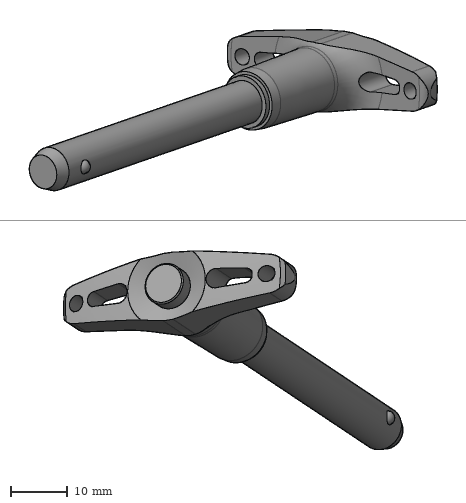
import cadquery as cq
import math


total_length = 91.44
handle_span = 45.18
handle_thickness = 12.7

shank_length = 59.16
shank_radius = 3.97
shank_tip_radius = 3.1
shank_tip_taper = 2.45
ball_radius = 1.3
ball_reach = 4.82
ball_from_tip = 7.2

button_top = total_length - shank_length
button_radius = 3.8
button_chamfer = 0.25

collar_radius = 4.8
sleeve_nose = (5.36, 1.1)
sleeve_taper_start = (5.6, 3.3)
sleeve_taper_end = (5.91, 18.7)
sleeve_top = (6.0, 19.55)

root_edge = (12.15, 24.65)
tip_radius = handle_span / 2
tip_round_start = (21.2, 23.7)
tip_round_mid = (22.01, 23.86)
tip_round_top = 24.45
tip_draft_start = 25.1
tip_top_radius = 22.05
tip_top = 28.5
tip_corner_chamfer = 0.7
crown_mid = (15.0, 29.98)
crown_crest = (7.7, 31.1)
dish_slope = 0.5

end_round_radius = 3.7
centre_flat_half_width = 0.98

lanyard_hole_radius = 1.5
slot_inner_end = 7.85
slot_inner_radius = 1.83
slot_outer_end = 16.35
slot_outer_radius = 1.4


def turned(profile):
    """Revolve a closed (radius, Y) profile drawn on XY about the Y axis."""
    return profile.close().revolve(360, (0, 0, 0), (0, 1, 0))


def make_pin():
    """Shank, collar, tapered grip sleeve and push button as one turned body."""
    shank_end = -shank_length
    profile = (
        cq.Workplane("XY")
        .moveTo(0, shank_end)
        .lineTo(shank_tip_radius, shank_end)
        .lineTo(shank_radius, shank_end + shank_tip_taper)
        .lineTo(shank_radius, 0)
        .lineTo(collar_radius, 0)
        .lineTo(collar_radius, sleeve_nose[1])
        .lineTo(*sleeve_nose)
        .lineTo(*sleeve_taper_start)
        .lineTo(*sleeve_taper_end)
        .lineTo(*sleeve_top)
        .lineTo(button_radius, sleeve_top[1])
        .lineTo(button_radius, button_top - button_chamfer)
        .lineTo(button_radius - button_chamfer, button_top)
        .lineTo(0, button_top)
    )
    return turned(profile)


def make_handle_blank():
    """Mushroom-shaped body: filleted root, sloping underside and domed crown."""
    dish_bottom = crown_crest[1] - dish_slope * (crown_crest[0] - button_radius)
    profile = (
        cq.Workplane("XY")
        .moveTo(0, dish_bottom)
        .lineTo(button_radius, dish_bottom)
        .lineTo(*crown_crest)
        .threePointArc(crown_mid, (tip_top_radius - tip_corner_chamfer, tip_top))
        .lineTo(tip_top_radius, tip_top - tip_corner_chamfer)
        .lineTo(tip_radius, tip_draft_start)
        .lineTo(tip_radius, tip_round_top)
        .threePointArc(tip_round_mid, tip_round_start)
        .lineTo(*root_edge)
        .tangentArcPoint(sleeve_top, relative=False)
        .lineTo(0, sleeve_top[1])
    )
    return turned(profile)


def extrude_along_pin(outline):
    """Extrude an XZ outline from Y = 0 past the top of the handle."""
    return outline.extrude(-button_top)


def make_handle_outline():
    """Tapered lens with fully round ends, tangent flanks and a narrow flat middle."""
    half_thickness = handle_thickness / 2
    end_x = handle_span / 2 - end_round_radius
    reach = math.hypot(end_x - centre_flat_half_width, half_thickness)
    reach_angle = math.atan2(half_thickness, end_x - centre_flat_half_width)
    flank_slope = reach_angle - math.asin(end_round_radius / reach)
    flank_end_x = end_x + end_round_radius * math.sin(flank_slope)
    flank_end_z = end_round_radius * math.cos(flank_slope)
    outline = (
        cq.Workplane("XZ")
        .moveTo(-flank_end_x, flank_end_z)
        .lineTo(-centre_flat_half_width, half_thickness)
        .lineTo(centre_flat_half_width, half_thickness)
        .lineTo(flank_end_x, flank_end_z)
        .threePointArc((handle_span / 2, 0), (flank_end_x, -flank_end_z))
        .lineTo(centre_flat_half_width, -half_thickness)
        .lineTo(-centre_flat_half_width, -half_thickness)
        .lineTo(-flank_end_x, -flank_end_z)
        .threePointArc((-handle_span / 2, 0), (-flank_end_x, flank_end_z))
        .close()
    )
    return extrude_along_pin(outline)


def make_arm_openings(side):
    """Lanyard hole and tapered slot through the arm on the given side (+1 or -1)."""
    hole_x = side * (handle_span / 2 - end_round_radius)
    hole = cq.Workplane("XZ").center(hole_x, 0).circle(lanyard_hole_radius)
    inner_x = side * (slot_inner_end + slot_inner_radius)
    outer_x = side * (slot_outer_end - slot_outer_radius)
    slot = (
        cq.Workplane("XZ")
        .moveTo(inner_x, slot_inner_radius)
        .lineTo(outer_x, slot_outer_radius)
        .threePointArc((side * slot_outer_end, 0), (outer_x, -slot_outer_radius))
        .lineTo(inner_x, -slot_inner_radius)
        .threePointArc((side * slot_inner_end, 0), (inner_x, slot_inner_radius))
        .close()
    )
    return extrude_along_pin(hole).union(extrude_along_pin(slot))


def make_locking_ball(side):
    """Locking ball standing out of the shank on the given side (+1 or -1)."""
    ball_y = ball_from_tip - shank_length
    return cq.Workplane("XY").sphere(ball_radius).translate((side * (ball_reach - ball_radius), ball_y, 0))


handle = make_handle_blank().intersect(make_handle_outline())
pin = make_pin()
for side in (-1, 1):
    handle = handle.cut(make_arm_openings(side))
    pin = pin.union(make_locking_ball(side))

result = pin.union(handle)